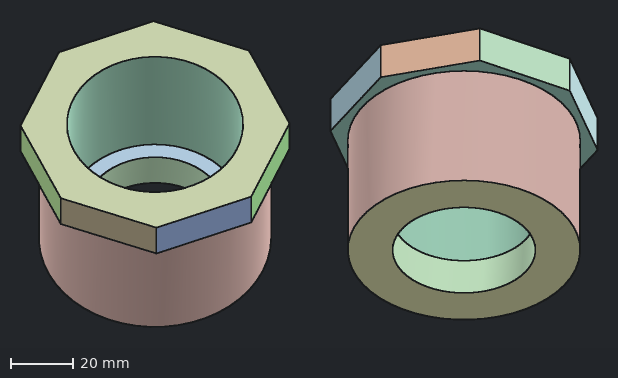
import cadquery as cq
import math

across_flats = 80.0
total_height = 57.0

head_sides = 8
head_height = 13.0
spigot_height = total_height - head_height
spigot_diameter = 74.8

socket_diameter = 56.6
passage_diameter = 45.9
socket_depth = 44.0

spigot = cq.Workplane("XY").circle(spigot_diameter / 2).extrude(spigot_height)

half_side_angle = 180 / head_sides
across_corners = across_flats / math.cos(math.radians(half_side_angle))
head = (
    cq.Workplane("XY")
    .polygon(head_sides, across_corners)
    .extrude(head_height)
    .rotate((0, 0, 0), (0, 0, 1), half_side_angle)
    .translate((0, 0, spigot_height))
)

passage = cq.Workplane("XY").circle(passage_diameter / 2).extrude(total_height)
socket = (
    cq.Workplane("XY")
    .workplane(offset=total_height - socket_depth)
    .circle(socket_diameter / 2)
    .extrude(socket_depth)
)

result = spigot.union(head).cut(passage).cut(socket)